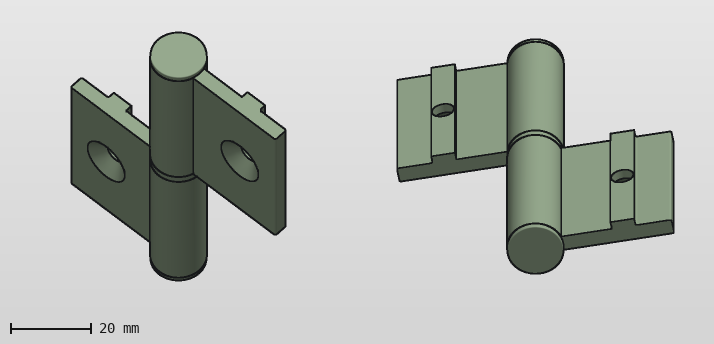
import cadquery as cq

total_height = 85.25
cap_thickness = 1.45
washer_thickness = 2.05
leaf_height = (total_height - washer_thickness) / 2 - cap_thickness
leaf_bottom = washer_thickness / 2
leaf_top = leaf_bottom + leaf_height
leaf_middle = (leaf_bottom + leaf_top) / 2

knuckle_diameter = 14.15
disc_diameter = 14.0
cap_edge_radius = 0.25

total_width = 69.0
leaf_reach = total_width / 2
plate_thickness = 4.0
plate_back = plate_thickness / 2
plate_front = -plate_back
plate_edge_radius = 0.5

screw_offset = 22.5
screw_diameter = 5.5
countersink_diameter = 12.5
countersink_angle = 90.0

rib_width = 6.0
rib_height = plate_thickness / 2
rib_back = plate_back + rib_height
rib_inner = screw_offset - rib_width / 2
rib_outer = screw_offset + rib_width / 2
rib_root_radius = 0.5


def make_disc(diameter, bottom, height):
    """Plain cylinder on the hinge axis."""
    return cq.Workplane("XY", origin=(0, 0, bottom)).circle(diameter / 2).extrude(height)


def make_plate():
    """Ribbed plate from the hinge axis out to +X, with rounded outer edges."""
    plate = (
        cq.Workplane("XY", origin=(0, 0, leaf_bottom))
        .moveTo(0, plate_front)
        .lineTo(leaf_reach, plate_front)
        .lineTo(leaf_reach, plate_back)
        .lineTo(rib_outer, plate_back)
        .lineTo(rib_outer, rib_back)
        .lineTo(rib_inner, rib_back)
        .lineTo(rib_inner, plate_back)
        .lineTo(0, plate_back)
        .close()
        .extrude(leaf_height)
    )
    plate = plate.faces(">X").edges("|Z").fillet(plate_edge_radius)

    rib_root = cq.selectors.NearestToPointSelector((rib_outer, plate_back, leaf_middle))
    return plate.edges(rib_root).fillet(rib_root_radius)


def drill_screw_hole(plate):
    """Countersunk hole through plate and rib, from the front face."""
    hole_plane = cq.Workplane("XZ", origin=(screw_offset, plate_front, leaf_middle))
    return plate.copyWorkplane(hole_plane).cskHole(
        screw_diameter, countersink_diameter, countersink_angle
    )


def make_leaf():
    """Upper leaf: a knuckle in one piece with its drilled plate."""
    knuckle = make_disc(knuckle_diameter, leaf_bottom, leaf_height)
    return knuckle.union(drill_screw_hole(make_plate()))


def make_cap():
    """Upper end cap: a disc with a rounded rim on its outer face."""
    cap = make_disc(disc_diameter, leaf_top, cap_thickness)
    return cap.faces(">Z").edges().fillet(cap_edge_radius)


def make_washer():
    """Bearing washer between the two knuckles."""
    return make_disc(disc_diameter, -washer_thickness / 2, washer_thickness)


leaves = []
caps = []
for turn in (0, 180):
    leaves.append(make_leaf().rotate((0, 0, 0), (0, 1, 0), turn).val())
    caps.append(make_cap().rotate((0, 0, 0), (0, 1, 0), turn).val())

washer = make_washer()

result = cq.Compound.makeCompound([*leaves, *caps, washer.val()])